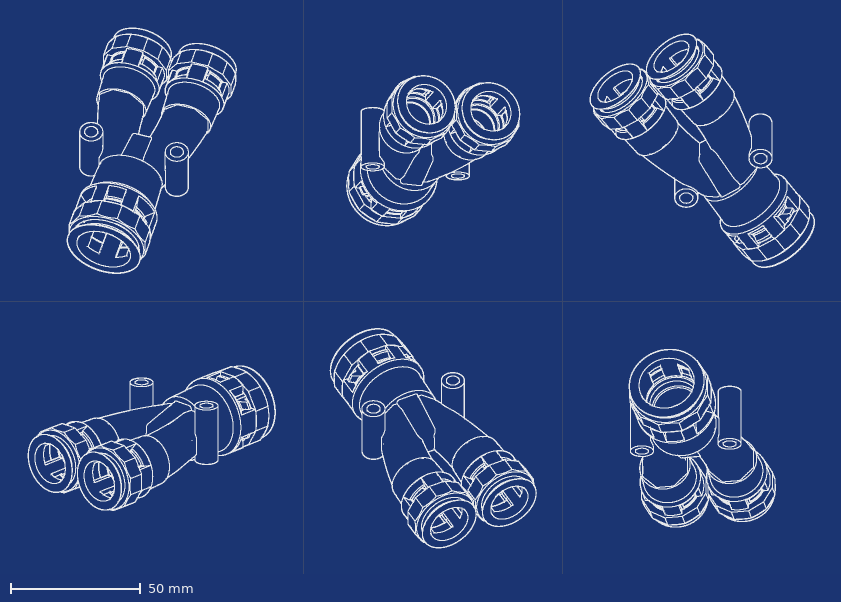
import cadquery as cq
import math


LENGTH = 97.0
BRANCH_X = 13.0
COLLAR_SIDES = 12
COLLAR_CHAMFER = 0.3
LUG_CLEARANCE = 0.2
FAR = 58.2

MAIN = {
    "rim_r": 14.6, "rim_y": 0.3, "flare_y": 2.7, "neck_r": 12.2, "collet_bore_r": 10.8,
    "collar_apothem": 15.2, "collar_y": 4.0, "collar_bore_r": 13.1,
    "cage_y": 11.4, "cage_r": 15.5, "cage_bore_r": 12.6, "cage_end_y": 20.3,
    "nose_y": 16.1, "nose_r": 12.6, "window_end_y": 19.1,
    "cone_y": 22.4, "cone_r": 13.5, "end_y": 36.4, "end_r": 12.8,
    "seal_end_y": 21.3, "seal_r": 11.4, "seal_bore_r": 9.7, "seal_mouth_r": 10.8, "bore_r": 8.9,
    "bore_end_y": 34.9,
    "side_bar_half": 4.7, "top_bars": [(-8.4, -3.5), (3.5, 8.4)],
    "slot_y": 4.85, "tip_y": 15.0,
    "slots": [
        ((3.3, FAR), (7.6, FAR)), ((-FAR, -3.3), (7.6, FAR)),
        ((3.3, FAR), (-FAR, -7.6)), ((-FAR, -3.3), (-FAR, -7.6)),
    ],
    "lug": [(11.7, 12.2), (12.3, 14.3), (13.5, 14.3), (15.0, 12.2)],
}
BRANCH = {
    "rim_r": 11.6, "rim_y": 0.1, "flare_y": 2.1, "neck_r": 9.7, "collet_bore_r": 8.05,
    "collar_apothem": 12.6, "collar_y": 3.6, "collar_bore_r": 10.2,
    "cage_y": 10.4, "cage_r": 11.8, "cage_bore_r": 10.0, "cage_end_y": 17.5,
    "nose_y": 14.7, "nose_r": 10.6, "window_end_y": 17.4,
    "cone_y": 18.3, "cone_r": 10.4, "end_y": 28.9, "end_r": 9.9,
    "seal_end_y": 19.4, "seal_r": 9.5, "seal_bore_r": 7.7, "seal_mouth_r": 8.05, "bore_r": 7.3,
    "bore_end_y": 28.9,
    "side_bar_half": 4.5, "top_bars": [(-3.3, 3.3)],
    "slot_y": 4.85, "tip_y": 14.3,
    "slots": [((-4.1, 4.1), (-FAR, FAR)), ((-FAR, FAR), (-4.1, 4.1))],
    "lug": [(10.9, 9.7), (10.9, 10.0), (14.3, 10.0), (14.3, 9.7)],
}

ARM_STATIONS = [(69.8, 13.1, 3.5, 8.9), (52.4, 10.1, 2.6, 8.0), (35.9, 4.3, 1.6, 7.8)]
ARM_HALF_HEIGHT = 8.9
ARM_SIDE_FLAT_HALF = 3.7
ARM_FILLET = 0.9

ARM_BORE_STATIONS = [(69.8, BRANCH_X, 7.3, 7.3), (52.4, 10.1, 6.0, 7.3), (34.9, 6.0, 3.9, 7.4)]

CROTCH_NOSE_R = 2.1

WEB_HALF_WIDTH = 4.5
WEB_START_Y = 34.9
WEB_END_Y = 54.2
WEB_START_HALF_HEIGHT = 11.0
WEB_END_HALF_HEIGHT = 4.85
WEB_END_FILLET = 3.6
WEB_EDGE_FILLET = 1.1

BUSH_X = 17.2
BUSH_Y = 41.3
BUSH_R = 4.5
BUSH_HOLE_R = 2.5
BUSH_BOTTOM_Z = -6.8
BUSH_TOP_Z = 15.9


def turned(profile):
    """Solid of revolution about the Y axis from (y, radius) points."""
    points = [(radius, y) for y, radius in profile]
    return cq.Workplane("XY").polyline(points).close().revolve(360, (0, 0), (0, 1))


def block(x_range, y_range, z_range):
    """Box given by its limits on each axis."""
    size = [high - low for low, high in (x_range, y_range, z_range)]
    centre = [(high + low) / 2 for low, high in (x_range, y_range, z_range)]
    return cq.Workplane("XY").box(*size).translate(tuple(centre))


def bar_strips(port, clearance=0.0):
    """Straight strips, along X and Z, that contain the bars of the cage."""
    side = port["side_bar_half"] + clearance
    y_range = (0, port["cage_end_y"])
    strips = block((-FAR, FAR), y_range, (-side, side))
    for low, high in port["top_bars"]:
        strips = strips.union(block((low - clearance, high + clearance), y_range, (-FAR, FAR)))
    return strips


def collar(port):
    """Twelve-sided collar with a turned chamfer at the mouth."""
    apothem = port["collar_apothem"]
    corner_r = apothem / math.cos(math.pi / COLLAR_SIDES)
    face_r = apothem - COLLAR_CHAMFER
    start = port["collar_y"]
    end = port["cage_y"]
    prism = (
        cq.Workplane("XZ", origin=(0, start, 0))
        .polygon(COLLAR_SIDES, 2 * corner_r)
        .extrude(start - end)
        .rotate((0, 0, 0), (0, 1, 0), 180 / COLLAR_SIDES)
    )
    envelope = turned([
        (start, 0), (start, face_r), (start + corner_r - face_r, corner_r), (end, corner_r), (end, 0),
    ])
    return prism.intersect(envelope)


def port_body(port):
    """Outside of one port: collar, cage, bevel and tapered socket, still without its bore."""
    barrel = turned([
        (port["cage_y"], 0), (port["cage_y"], port["cage_r"]),
        (port["cage_end_y"], port["cage_r"]), (port["cone_y"], port["cone_r"]),
        (port["end_y"], port["end_r"]), (port["end_y"], 0),
    ])
    return barrel.union(collar(port))


def port_cavity(port):
    """Bore of one port, with the seal pocket and the windows between the cage bars."""
    bore = turned([
        (0, 0), (0, port["collar_bore_r"]), (port["cage_y"], port["collar_bore_r"]),
        (port["cage_y"], port["cage_bore_r"]), (port["nose_y"], port["cage_bore_r"]),
        (port["nose_y"], port["seal_r"]), (port["seal_end_y"], port["seal_r"]),
        (port["seal_end_y"], port["bore_r"]), (port["bore_end_y"], port["bore_r"]),
        (port["bore_end_y"], 0),
    ])
    windows = turned([
        (port["cage_y"], 0), (port["cage_y"], port["cage_r"]), (port["window_end_y"], port["cage_r"]),
        (port["nose_y"], port["nose_r"]), (port["nose_y"], 0),
    ])
    return bore.union(windows.cut(bar_strips(port)))


def collet(port):
    """Flared locking collet with slotted fingers and lugs that reach into the windows."""
    sleeve = turned([
        (0, port["collet_bore_r"]), (0, port["rim_r"]), (port["rim_y"], port["rim_r"]),
        (port["flare_y"], port["neck_r"]), (port["tip_y"], port["neck_r"]),
        (port["tip_y"], port["collet_bore_r"]),
    ])
    root_r = port["collet_bore_r"]
    lug_start = port["lug"][0][0]
    lug_end = port["lug"][-1][0]
    lugs = turned([(lug_start, root_r)] + port["lug"] + [(lug_end, root_r)])
    lugs = lugs.cut(bar_strips(port, LUG_CLEARANCE))
    body = sleeve.union(lugs)
    for x_range, z_range in port["slots"]:
        body = body.cut(block(x_range, (port["slot_y"], FAR), z_range))
    return body


def seal(port):
    """Seal ring with a conical lead-in, seated in the pocket behind the cage."""
    lead = port["seal_mouth_r"] - port["seal_bore_r"]
    return turned([
        (port["nose_y"], port["seal_mouth_r"]), (port["nose_y"], port["seal_r"]),
        (port["seal_end_y"], port["seal_r"]), (port["seal_end_y"], port["seal_bore_r"]),
        (port["nose_y"] + lead, port["seal_bore_r"]),
    ])


def at_branch(body, side):
    """Move a port feature from the main port position to the branch on the given side."""
    return body.rotate((0, 0, 0), (0, 0, 1), 180).translate((side * BRANCH_X, LENGTH, 0))


def arm():
    """Curved eight-sided arm on the +X side."""
    sections = []
    for y, centre, flat, half in ARM_STATIONS:
        quarter = [(half, ARM_SIDE_FLAT_HALF), (flat, ARM_HALF_HEIGHT)]
        outline = quarter + [(-x, z) for x, z in reversed(quarter)]
        outline += [(x, -z) for x, z in reversed(outline)]
        points = [cq.Vector(centre + x, y, z) for x, z in outline]
        sections.append(cq.Wire.makePolygon(points, close=True))
    body = cq.Workplane(cq.Solid.makeLoft(sections))
    return body.edges("not(#Y)").fillet(ARM_FILLET)


def arm_bore():
    """Oval passage through the +X arm."""
    sections = []
    for y, centre, half_width, half_height in ARM_BORE_STATIONS:
        plane = cq.Workplane("XZ", origin=(centre, y, 0))
        sections.append(plane.ellipse(half_width, half_height).wire().val())
    return cq.Workplane(cq.Solid.makeLoft(sections))


def crotch_relief():
    """Material taken off the wall between the arm bores so that it meets the flow with a round nose."""
    start = MAIN["bore_end_y"]
    end = start + CROTCH_NOSE_R
    passage = turned([(start, 0), (start, MAIN["bore_r"]), (end, MAIN["bore_r"]), (end, 0)])
    strip = block((-CROTCH_NOSE_R, CROTCH_NOSE_R), (start, end), (-FAR, FAR))
    nose = cq.Workplane("XY", origin=(0, end, -FAR)).circle(CROTCH_NOSE_R).extrude(2 * FAR)
    return passage.intersect(strip).cut(nose)


def web():
    """Wedge-shaped web in the crotch, rounded along its edges."""
    profile = [
        (WEB_START_Y, -WEB_START_HALF_HEIGHT), (WEB_END_Y, -WEB_END_HALF_HEIGHT),
        (WEB_END_Y, WEB_END_HALF_HEIGHT), (WEB_START_Y, WEB_START_HALF_HEIGHT),
    ]
    wedge = cq.Workplane("YZ").polyline(profile).close().extrude(WEB_HALF_WIDTH, both=True)
    wedge = wedge.faces(">Y").edges("|X").fillet(WEB_END_FILLET)
    return wedge.faces(">X or <X").edges().fillet(WEB_EDGE_FILLET)


def bush(side):
    """Upright mounting bush, without its hole."""
    height = BUSH_TOP_Z - BUSH_BOTTOM_Z
    return cq.Workplane("XY", origin=(side * BUSH_X, BUSH_Y, BUSH_BOTTOM_Z)).circle(BUSH_R).extrude(height)


def bush_hole(side):
    """Through hole of a mounting bush."""
    start = (side * BUSH_X, BUSH_Y, -FAR)
    return cq.Workplane("XY", origin=start).circle(BUSH_HOLE_R).extrude(2 * FAR)


def housing():
    """One-piece Y housing: three ports, two arms, the web and the mounting bushes."""
    right_arm = arm()
    right_bore = arm_bore()
    body = port_body(MAIN).union(web())
    body = body.union(right_arm).union(right_arm.mirror("YZ"))
    for side in (-1, 1):
        body = body.union(at_branch(port_body(BRANCH), side)).union(bush(side))
    body = body.cut(port_cavity(MAIN)).cut(crotch_relief()).cut(right_bore).cut(right_bore.mirror("YZ"))
    for side in (-1, 1):
        body = body.cut(at_branch(port_cavity(BRANCH), side)).cut(bush_hole(side))
    return body


y_housing = housing()
collets = [collet(MAIN)]
seals = [seal(MAIN)]
for branch_side in (-1, 1):
    collets.append(at_branch(collet(BRANCH), branch_side))
    seals.append(at_branch(seal(BRANCH), branch_side))

result = cq.Compound.makeCompound([
    y_housing.val(),
    *[body.val() for body in collets],
    *[body.val() for body in seals],
])